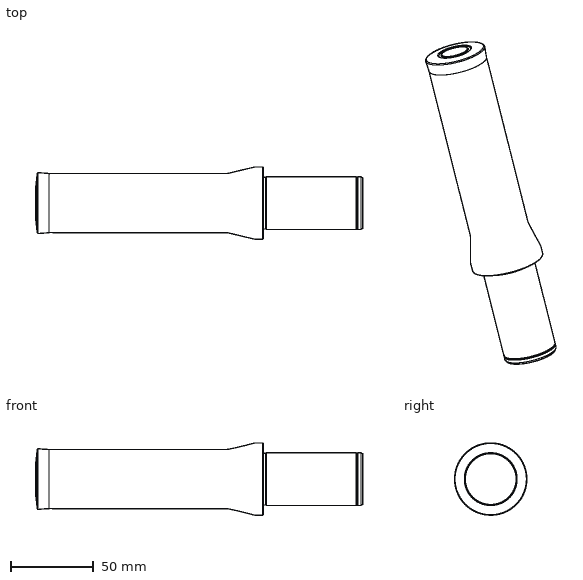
import cadquery as cq

total_length = 198.0
face_rise = 0.8
rim_end = 1.4
head_length = 8.1
relief_end = 11.7
neck_end = 115.5
flare_start = 116.6
flare_end = 132.3
collar_start = 132.9
collar_end = 137.8
undercut_end = 139.2
undercut_ramp = 0.5
groove_start = 194.0
groove_width = 1.0
end_chamfer_length = 1.2

face_diameter = 35.6
head_diameter = 37.0
neck_diameter = 36.0
relief_diameter = 35.8
flare_start_diameter = 36.2
flare_end_diameter = 43.8
collar_diameter = 44.0
shank_diameter = 32.0
undercut_diameter = 31.5
end_diameter = 30.7

ring_outer_diameter = 21.0
ring_inner_diameter = 15.8
ring_wall_width = 0.5
ring_depth = 0.4

collar_chamfer = 0.4

origin_x = -total_length / 2


def revolve_profile(points):
    """Revolve an outline of (axial position, radius) points about the X axis."""
    placed = [(origin_x + axial, radius) for axial, radius in points]
    return cq.Workplane("XY").polyline(placed).close().revolve(360, (0, 0, 0), (1, 0, 0))


def make_cutting_head():
    """Front disc with a conical face, a beveled rim, a back taper and a shallow ring groove."""
    return revolve_profile([
        (0, 0),
        (0, ring_inner_diameter / 2),
        (ring_depth, ring_inner_diameter / 2 + ring_wall_width),
        (ring_depth, ring_outer_diameter / 2 - ring_wall_width),
        (0, ring_outer_diameter / 2),
        (face_rise, face_diameter / 2),
        (rim_end, head_diameter / 2),
        (head_length, neck_diameter / 2),
        (head_length, 0),
    ])


def make_holder():
    """Long neck, flared collar and shank behind the cutting head."""
    return revolve_profile([
        (head_length, 0),
        (head_length, relief_diameter / 2),
        (relief_end, neck_diameter / 2),
        (neck_end, neck_diameter / 2),
        (flare_start, flare_start_diameter / 2),
        (flare_end, flare_end_diameter / 2),
        (collar_start, collar_diameter / 2),
        (collar_end - collar_chamfer, collar_diameter / 2),
        (collar_end, collar_diameter / 2 - collar_chamfer),
        (collar_end, undercut_diameter / 2),
        (undercut_end, undercut_diameter / 2),
        (undercut_end + undercut_ramp, shank_diameter / 2),
        (groove_start, shank_diameter / 2),
        (groove_start + groove_width / 2, undercut_diameter / 2),
        (groove_start + groove_width, shank_diameter / 2),
        (total_length - end_chamfer_length, shank_diameter / 2),
        (total_length, end_diameter / 2),
        (total_length, 0),
    ])


cutting_head = make_cutting_head()
holder = make_holder()

result = cq.Compound.makeCompound([cutting_head.val(), holder.val()])